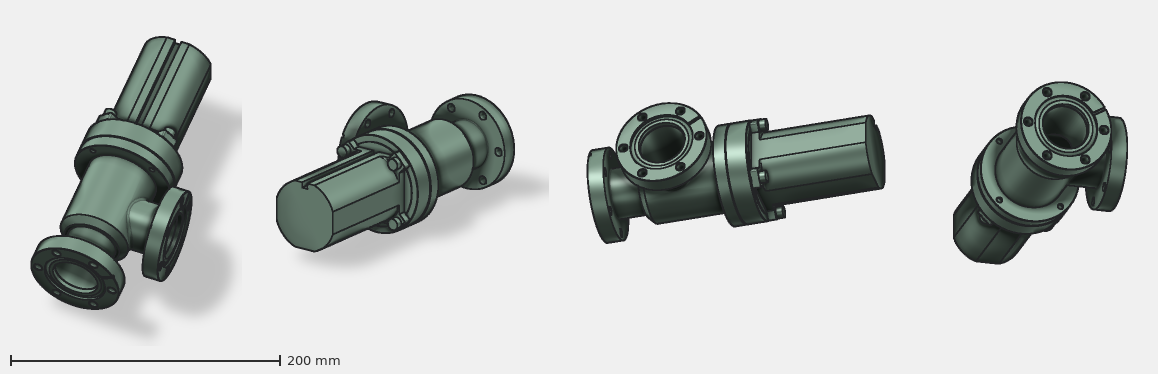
import cadquery as cq
import math


overall_width = 93.5
main_flange_diameter = 76.3
main_flange_radius = main_flange_diameter / 2
side_port_reach = overall_width - main_flange_radius

port_flange_radius = 35.0
port_flange_thickness = 12.3
flange_edge_chamfer = 0.32
port_bolt_circle_radius = 29.3
port_bolt_hole_radius = 3.2
port_bolt_hole_chamfer = 0.32
port_bolt_count = 6
tube_radius = 19.1
tube_weld_fillet = 0.6
tube_bore_radius = 17.5
mouth_bore_radius = 17.8
mouth_depth = 4.9

seal_recess_radius = 24.2
knife_radius = 20.8
knife_depth = 1.0
seal_recess_depth = 2.3
leak_groove_width = 2.0
leak_groove_depth = 1.5
leak_groove_angle = 30

body_radius = 27.0
body_start = 34.8
body_chamfer = 5.0
side_port_height = 63.0
side_weld_fillet = 2.3

body_flange_start = 97.8
body_flange_thickness = 9.4
gasket_thickness = 0.6
gasket_radius = 37.6
bonnet_thickness = 15.7
body_flange_end = body_flange_start + body_flange_thickness
bonnet_start = body_flange_end + gasket_thickness
bonnet_face_end = bonnet_start + bonnet_thickness
bonnet_pad_radius = 32.7
bonnet_pad_height = 0.6
bonnet_end = bonnet_face_end + bonnet_pad_height

actuator_end = 212.5
actuator_radius = 27.6
actuator_flat_distance = 26.1
slot_width = 5.0
slot_depth = 4.2
foot_thickness = 6.2
foot_arm_half_width = 7.0
foot_arm_reach = 37.5
foot_corner_radius = 1.0
barrel_base_fillet = 1.0
foot_end = bonnet_end + foot_thickness

screw_circle_radius = 33.4
screw_angles = [45, 135, 225, 315]
screw_head_radius = 4.5
screw_head_height = 5.0
screw_shank_radius = 2.1
screw_tip_recess = 2.1
screw_tip = body_flange_start + screw_tip_recess

selection_margin = 0.2


def cylinder(radius, start, end):
    """Solid cylinder about the Y axis between two Y positions."""
    return cq.Workplane("XZ", origin=(0, start, 0)).circle(radius).extrude(start - end)


def bar(width, height, start, end):
    """Rectangular bar centred on the Y axis between two Y positions."""
    return cq.Workplane("XZ", origin=(0, start, 0)).rect(width, height).extrude(start - end)


def circles_at(shape, y, reach):
    """Round edges lying at one Y position and centred within reach of the axis in X and Z."""
    slab = cq.selectors.BoxSelector(
        (-reach, y - selection_margin, -reach),
        (reach, y + selection_margin, reach),
    )
    return shape.edges(slab).edges("%CIRCLE")


def on_circle(radius, angle):
    """X and Z of a point on a circle about the Y axis."""
    return (radius * math.cos(math.radians(angle)), radius * math.sin(math.radians(angle)))


screw_points = [on_circle(screw_circle_radius, angle) for angle in screw_angles]


def screw_holes(start, end):
    """Cylinders that fill the screw holes between two Y positions."""
    sketch = cq.Workplane("XZ", origin=(0, start, 0)).pushPoints(screw_points)
    return sketch.circle(screw_shank_radius).extrude(start - end)


def make_port_cutter(bore_end):
    """Everything removed from a port whose face lies at Y = 0 and opens toward -Y."""
    outline = [
        (0, 0),
        (seal_recess_radius, 0),
        (seal_recess_radius, seal_recess_depth),
        (knife_radius, knife_depth),
        (mouth_bore_radius, knife_depth),
        (mouth_bore_radius, mouth_depth),
        (tube_bore_radius, mouth_depth),
        (tube_bore_radius, bore_end),
        (0, bore_end),
    ]
    cutter = cq.Workplane("XY").polyline(outline).close().revolve(360, (0, 0, 0), (0, 1, 0))
    countersink = cq.Solid.makeCone(
        port_bolt_hole_radius + port_bolt_hole_chamfer,
        port_bolt_hole_radius,
        port_bolt_hole_chamfer,
        dir=cq.Vector(0, 1, 0),
    )
    hole = cylinder(port_bolt_hole_radius, 0, port_flange_thickness).union(cq.Workplane(countersink))
    for index in range(port_bolt_count):
        x, z = on_circle(port_bolt_circle_radius, index * 360 / port_bolt_count)
        cutter = cutter.union(hole.translate((x, 0, z)))
    groove = (
        cq.Workplane("XY")
        .box(port_flange_radius, leak_groove_depth, leak_groove_width, centered=(False, False, True))
        .translate((knife_radius, 0, 0))
        .cut(cylinder(seal_recess_radius, 0, leak_groove_depth))
        .rotate((0, 0, 0), (0, 1, 0), -leak_groove_angle)
    )
    return cutter.union(groove)


def to_side_port(shape):
    """Move a port built about the Y axis to the side port, facing +X."""
    return shape.rotate((0, 0, 0), (0, 0, 1), 90).translate((side_port_reach, side_port_height, 0))


def make_port_flange():
    """Flange with a short stub of tube and the weld fillet between them."""
    flange = cylinder(port_flange_radius, 0, port_flange_thickness)
    flange = flange.faces("<Y").chamfer(flange_edge_chamfer)
    stub_end = port_flange_thickness + 2 * tube_weld_fillet
    flange = flange.union(cylinder(tube_radius, 0, stub_end))
    ring_edges = circles_at(flange, port_flange_thickness, port_flange_radius)
    return ring_edges.edges(cq.selectors.RadiusNthSelector(0)).fillet(tube_weld_fillet)


def make_housing():
    body = cylinder(body_radius, body_start, body_flange_end).faces("<Y").chamfer(body_chamfer)
    side_tube = to_side_port(cylinder(tube_radius, 0, side_port_reach))
    body = body.union(side_tube)
    junction = cq.selectors.NearestToPointSelector((body_radius, side_port_height, 0))
    body = body.edges("not(#Y or |Y or %CIRCLE)").edges(junction).fillet(side_weld_fillet)

    port_flange = make_port_flange()
    body = body.union(cylinder(tube_radius, 0, body_start + body_chamfer))
    body = body.union(port_flange).union(to_side_port(port_flange))
    main_flange = cylinder(main_flange_radius, body_flange_start, body_flange_end)
    body = body.union(main_flange.faces("<Y").chamfer(flange_edge_chamfer))

    body = body.cut(make_port_cutter(body_flange_end))
    body = body.cut(to_side_port(make_port_cutter(side_port_reach)))
    return body.cut(screw_holes(body_flange_start, body_flange_end))


def make_gasket():
    ring = cylinder(gasket_radius, body_flange_end, bonnet_start)
    ring = ring.cut(cylinder(tube_bore_radius, body_flange_end, bonnet_start))
    return ring.cut(screw_holes(body_flange_end, bonnet_start))


def make_bonnet():
    disc = cylinder(main_flange_radius, bonnet_start, bonnet_face_end).faces(">Y").chamfer(flange_edge_chamfer)
    disc = disc.union(cylinder(bonnet_pad_radius, bonnet_face_end, bonnet_end))
    return disc.cut(screw_holes(bonnet_start, bonnet_end))


def make_actuator():
    square_side = 2 * actuator_flat_distance
    barrel = cylinder(actuator_radius, bonnet_end, actuator_end)
    barrel = barrel.intersect(bar(square_side, square_side, bonnet_end, actuator_end))

    foot = bar(square_side, square_side, bonnet_end, foot_end)
    arm = bar(2 * foot_arm_reach, 2 * foot_arm_half_width, bonnet_end, foot_end)
    arm = arm.edges("|Y").fillet(foot_corner_radius)
    for turn in (45, 135):
        foot = foot.union(arm.rotate((0, 0, 0), (0, 1, 0), turn))

    slot = bar(slot_width, 2 * slot_depth, bonnet_end, actuator_end)
    slot = slot.translate((0, 0, actuator_flat_distance))
    actuator = barrel.union(foot)
    actuator = circles_at(actuator, foot_end, actuator_radius).fillet(barrel_base_fillet)
    return actuator.cut(slot).cut(screw_holes(bonnet_end, foot_end))


def make_screw(x, z):
    shank = cylinder(screw_shank_radius, screw_tip, foot_end)
    head = cylinder(screw_head_radius, foot_end, foot_end + screw_head_height)
    return shank.union(head).translate((x, 0, z))


housing = make_housing()
gasket = make_gasket()
bonnet = make_bonnet()
actuator = make_actuator()
screws = [make_screw(x, z).val() for x, z in screw_points]

result = cq.Compound.makeCompound([housing.val(), gasket.val(), bonnet.val(), actuator.val(), *screws])